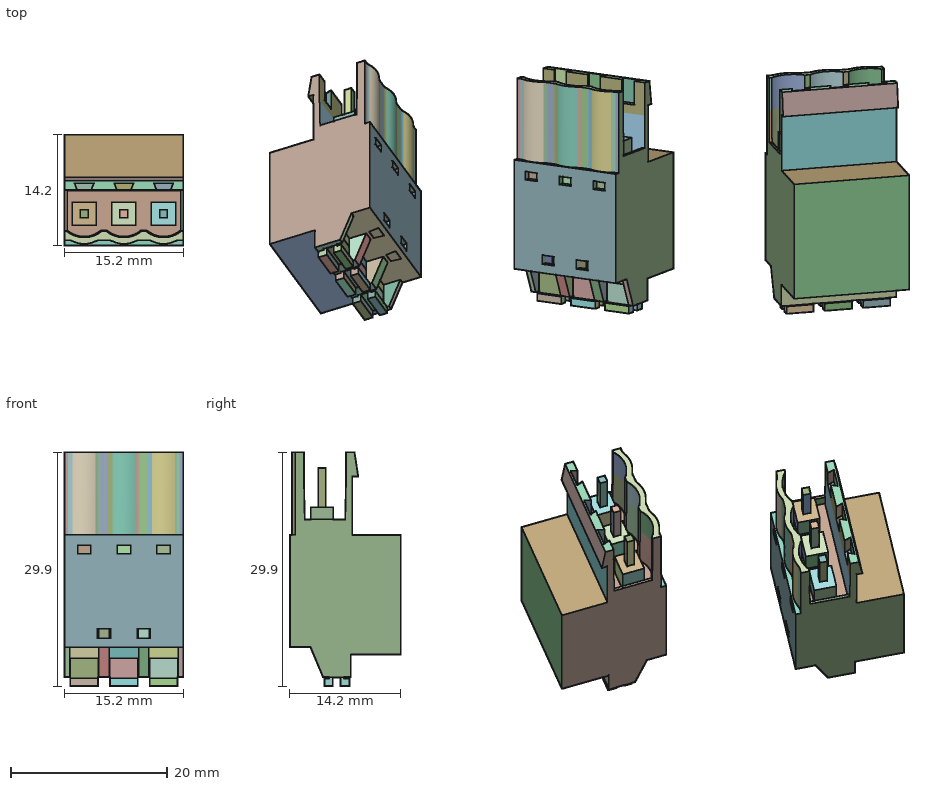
import cadquery as cq


poles = 3
pitch = 5.08
width = poles * pitch
half_width = width / 2
pole_x = [(i - (poles - 1) / 2) * pitch for i in range(poles)]
between_poles_x = [(a + b) / 2 for a, b in zip(pole_x, pole_x[1:])]

depth = 14.2
block_top = 19.35
front_bottom = 5.0
back_bottom = 4.04
foot_bottom = 1.15
slope_top_y = 2.62
slope_bottom_y = 4.23
foot_back_y = 7.8

top = 29.93
shroud_back_y = 8.0
valley_y = 0.71
bulge_y = 0.24
bulge_half = 1.48
bulge_blend_half = 2.06

cavity_floor = 21.35
pocket_floor = 19.72
draft_top = 25.6
cavity_front_y = 1.83
cavity_lobe_y = 1.05
cavity_back_y = 7.15
wall_draft = 0.12
lobe_gap = 0.35

hook_bottom = 26.8
hook_top_y = 8.28
hook_tip_y = 8.76
keyway_front_width = 1.84
keyway_back_width = 2.46

pin_y = 4.1
pin_size = 1.0
pin_top = 27.93
plinth_width = 3.1
plinth_depth = 2.92
plinth_top = 22.9

window_width = 1.7
window_depth = 0.8
upper_window_z = (16.94, 18.02)
lower_window_z = (6.15, 7.34)
chamber_depth = 1.4
chamber_bottom = 5.1
chamber_taper = 0.16

clip_width = 3.6
opening_width = 3.75
clip_stem_y = (5.0, 6.93)
clip_stem_top = 3.6
clip_foot_y = (4.42, 7.64)
clip_foot_height = 0.98
clip_slot_y = (5.5, 6.46)
clip_slot_height = 1.07


def block(x, size_x, y_range, z_range):
    """Box centred on x, between two Y values and two Z values."""
    size_y = y_range[1] - y_range[0]
    size_z = z_range[1] - z_range[0]
    return (
        cq.Workplane("XY")
        .box(size_x, size_y, size_z, centered=(True, False, False))
        .translate((x, y_range[0], z_range[0]))
    )


def across_width(points):
    """Side profile of (Y, Z) points, extruded over the full width."""
    return cq.Workplane("YZ", origin=(-half_width, 0, 0)).polyline(points).close().extrude(width)


def main_block():
    return across_width([
        (0, front_bottom),
        (slope_top_y, front_bottom),
        (slope_bottom_y, foot_bottom),
        (foot_back_y, foot_bottom),
        (foot_back_y, back_bottom),
        (depth, back_bottom),
        (depth, block_top),
        (0, block_top),
    ])


def shroud():
    """Solid upper part whose front has one rounded bulge per pole, blended into flat valleys."""
    blend_y = bulge_y + (valley_y - bulge_y) * bulge_half / bulge_blend_half
    outline = cq.Workplane("XY", origin=(0, 0, block_top)).moveTo(-half_width, valley_y)
    for x in pole_x:
        outline = (
            outline.lineTo(x - bulge_blend_half, valley_y)
            .tangentArcPoint((x - bulge_half, blend_y), relative=False)
            .threePointArc((x, bulge_y), (x + bulge_half, blend_y))
            .tangentArcPoint((x + bulge_blend_half, valley_y), relative=False)
        )
    return (
        outline.lineTo(half_width, valley_y)
        .lineTo(half_width, shroud_back_y)
        .lineTo(-half_width, shroud_back_y)
        .close()
        .extrude(top - block_top)
    )


def cavity_outline(plane, inset):
    """Cavity plan: one round lobe per pole in front, straight at the back, walls moved in by inset."""
    front = cavity_front_y + inset
    back = cavity_back_y - inset
    lobe_half = pitch / 2 - lobe_gap
    outline = plane.moveTo(-half_width, back).lineTo(-half_width, front)
    for x in pole_x:
        outline = (
            outline.lineTo(x - lobe_half, front)
            .threePointArc((x, cavity_lobe_y + inset), (x + lobe_half, front))
        )
    return outline.lineTo(half_width, front).lineTo(half_width, back).close()


def plug_cavity():
    """Cavity open at both ends: straight upper part, drafted lower part, rims around the sunk floor."""
    upper = cavity_outline(cq.Workplane("XY", origin=(0, 0, draft_top)), 0).extrude(top - draft_top)
    drafted = cavity_outline(cq.Workplane("XY", origin=(0, 0, pocket_floor)), wall_draft)
    drafted = cavity_outline(drafted.workplane(offset=draft_top - pocket_floor), 0)
    drafted = drafted.loft(ruled=True)
    cavity = upper.union(drafted)
    for end_x in (-half_width, half_width):
        rim = block(end_x, 2 * lobe_gap, (0, shroud_back_y), (pocket_floor, cavity_floor))
        cavity = cavity.cut(rim)
    return cavity


def latch_hook():
    return across_width([
        (shroud_back_y, hook_bottom),
        (hook_tip_y, hook_bottom),
        (hook_top_y, top),
        (shroud_back_y, top),
    ])


def keyway(x):
    """Dovetail groove in the inner face of the rear wall, open at the top."""
    return (
        cq.Workplane("XY", origin=(x, 0, hook_bottom))
        .polyline([
            (-keyway_front_width / 2, cavity_back_y),
            (keyway_front_width / 2, cavity_back_y),
            (keyway_back_width / 2, shroud_back_y),
            (-keyway_back_width / 2, shroud_back_y),
        ])
        .close()
        .extrude(top - hook_bottom)
    )


def lower_window(x):
    """Window that opens into a deeper chamber with walls tapering towards the back."""
    mouth = block(x, window_width, (0, window_depth), lower_window_z)
    half_front = window_width / 2
    half_back = half_front - chamber_taper
    chamber_back_y = window_depth + chamber_depth
    chamber = (
        cq.Workplane("XY", origin=(x, 0, chamber_bottom))
        .polyline([
            (-half_front, window_depth),
            (half_front, window_depth),
            (half_back, chamber_back_y),
            (-half_back, chamber_back_y),
        ])
        .close()
        .extrude(lower_window_z[1] - chamber_bottom)
    )
    return mouth.union(chamber)


def clip_opening(x):
    """Notch through the slope plus the close-fitting recess for the clip stem."""
    notch = block(x, opening_width, (slope_top_y, clip_stem_y[0]), (foot_bottom, front_bottom))
    recess = block(x, clip_width, clip_stem_y, (foot_bottom, clip_stem_top))
    return notch.union(recess)


def make_pin(x):
    """Square contact pin, seated through the plinth down to the cavity floor."""
    return block(
        x, pin_size, (pin_y - pin_size / 2, pin_y + pin_size / 2), (pocket_floor, pin_top)
    )


def make_housing():
    body = main_block().union(shroud()).cut(plug_cavity()).union(latch_hook())
    plinth_y = (pin_y - plinth_depth / 2, pin_y + plinth_depth / 2)
    for x in pole_x:
        body = body.union(block(x, plinth_width, plinth_y, (pocket_floor, plinth_top)))
        body = body.cut(make_pin(x))
        body = body.cut(keyway(x))
        body = body.cut(block(x, window_width, (0, window_depth), upper_window_z))
        body = body.cut(clip_opening(x))
    for x in between_poles_x:
        body = body.cut(lower_window(x))
    return body


def make_clip(x):
    """Release clip: stem inside the housing, wider foot below it, slot across the underside."""
    stem = block(x, clip_width, clip_stem_y, (0, clip_stem_top))
    foot = block(x, clip_width, clip_foot_y, (0, clip_foot_height))
    slot = block(x, clip_width, clip_slot_y, (0, clip_slot_height))
    return stem.union(foot).cut(slot)


housing = make_housing()
pins = [make_pin(x) for x in pole_x]
clips = [make_clip(x) for x in pole_x]

result = cq.Compound.makeCompound(
    [housing.val()] + [pin.val() for pin in pins] + [clip.val() for clip in clips]
)